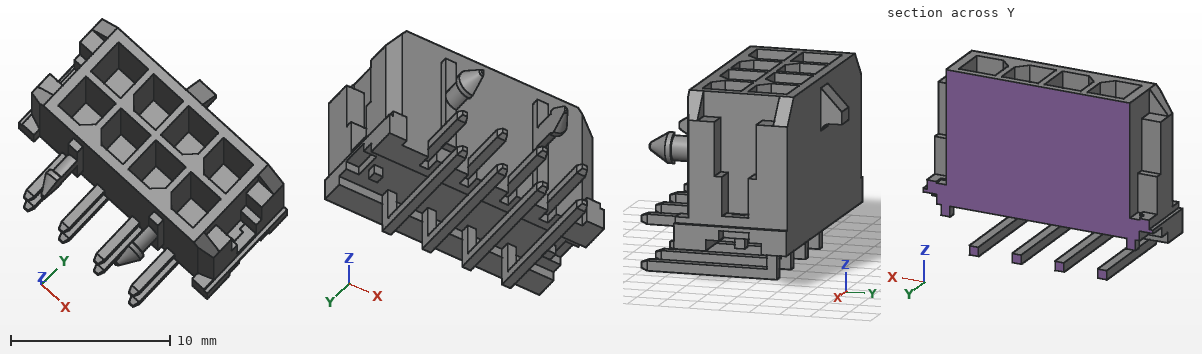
import cadquery as cq


length = 16.15
flange_thickness = 0.27
flange_height = 1.62
body_half = length / 2 - flange_thickness
depth = 6.86
height = 9.92
mid_y = depth / 2
top_half = 6.46
shoulder_z = 8.28
corner_run = 1.02
corner_depth = 0.37
corner_half = body_half - corner_run
standoff = 0.52
foot_height = 2.0

pitch = 3.0
columns = 4
cell_size = 2.55
cell_bevel = 0.71
cell_floor_z = 2.26

pocket_steps = [
    (1.75, 2.25),
    (2.76, 4.78),
    (5.0, shoulder_z),
]
insert_depth = 0.1
insert_x = 6.83
insert_tooth_x = 7.12
insert_tooth_width = 0.79

channel_front_y = 1.57
channel_rear_y = 5.23
channel_height = 0.71
recess_width = 1.99
recess_top_z = 1.35
peg_size = 0.65
pin_slot_depth = 0.97

latch_width = 1.42
latch_reach = 1.37
latch_top_z = 9.25
latch_nose_top_z = 7.8
latch_nose_bottom_z = 6.98
latch_root_z = 6.5
latch_root_run = 0.65
latch_root_radius = 0.68

rib_inner_x = 3.05
rib_width = 0.8
rib_bottom_z = 1.28
rib_top_z = 8.5
post_z = 5.31
post_radius = rib_width
collar_radius = 1.0
collar_start = 2.02
collar_end = 2.37
cone_end = 3.55
cone_end_radius = 0.27
post_end = 3.65
post_end_radius = 0.16

pin_size = 0.65
pin_reach = 3.71
pin_taper = 0.42
pin_tip_size = 0.35
upper_pin_z = 1.0
lower_pin_z = -2.0
upper_pin_rear_y = 1.94
lower_leg_rear_y = channel_rear_y
lower_leg_top_z = 1.62


def block(x0, x1, y0, y1, z0, z1):
    """Box between two opposite corners."""
    return cq.Workplane("XY").box(x1 - x0, y1 - y0, z1 - z0, centered=False).translate((x0, y0, z0))


def both_ends(shape):
    """The shape together with its mirror image at the other end of the part."""
    return shape.union(shape.mirror("YZ"))


column_xs = [(i - (columns - 1) / 2) * pitch for i in range(columns)]


def housing():
    end_outline = [
        (-body_half, 0), (body_half, 0), (body_half, shoulder_z),
        (top_half, height), (-top_half, height), (-body_half, shoulder_z),
    ]
    body = cq.Workplane("XZ").polyline(end_outline).close().extrude(-depth)
    bevel = (
        cq.Workplane("XY")
        .polyline([(corner_half, 0), (body_half, corner_depth), (body_half, 0)])
        .close()
        .extrude(height)
    )
    foot = block(corner_half, body_half, -standoff, corner_depth, 0, foot_height)
    flange = block(body_half, length / 2, -standoff, depth, 0, flange_height)
    return body.cut(both_ends(bevel)).union(both_ends(foot)).union(both_ends(flange))


def cell(x, y, bevel_side):
    """Cell with one bevelled front corner: -1 left, 1 right, 0 none."""
    shape = cq.Workplane("XY").rect(cell_size, cell_size).extrude(height - cell_floor_z)
    if bevel_side:
        corner = "<X and <Y" if bevel_side < 0 else ">X and <Y"
        shape = shape.edges("|Z").edges(corner).chamfer(cell_bevel)
    return shape.translate((x, y, cell_floor_z))


def cells():
    rows = [
        (mid_y + pitch / 2, [0, -1, 1, -1]),
        (mid_y - pitch / 2, [1, -1, 1, -1]),
    ]
    shape = cq.Workplane("XY")
    for y, bevel_sides in rows:
        for x, side in zip(column_xs, bevel_sides):
            shape = shape.add(cell(x, y, side))
    return shape.combine()


def end_pocket():
    floor_width, floor_z = pocket_steps[0]
    insert_floor_z = floor_z - insert_depth
    levels = [
        *[(body_half, width, z) for width, z in pocket_steps],
        (insert_x, floor_width, insert_floor_z),
        (insert_tooth_x, insert_tooth_width, insert_floor_z),
    ]
    shape = cq.Workplane("XY")
    for x_end, width, z in levels:
        shape = shape.union(block(top_half, x_end, mid_y - width / 2, mid_y + width / 2, z, height))
    return both_ends(shape)


def underside():
    """Channel along X, a recess at each end and a slot in the front wall below each front pin."""
    half = length / 2
    channel = block(-half, half, channel_front_y, channel_rear_y, 0, channel_height)
    recess_y = mid_y - recess_width / 2
    recess = block(insert_tooth_x, half, recess_y, recess_y + recess_width, 0, recess_top_z)
    shape = channel.union(both_ends(recess))
    for x in column_xs:
        shape = shape.union(
            block(x - pin_size / 2, x + pin_size / 2, 0, pin_slot_depth, 0, upper_pin_z)
        )
    return shape


def bottom_pegs():
    y0 = mid_y - peg_size / 2
    return both_ends(
        block(insert_x - peg_size, insert_x, y0, y0 + peg_size, 0, channel_height)
    )


def latch():
    nose_y = depth + latch_reach
    return (
        cq.Workplane("YZ")
        .moveTo(depth, latch_root_z)
        .lineTo(depth, latch_top_z)
        .lineTo(nose_y, latch_nose_top_z)
        .lineTo(nose_y, latch_nose_bottom_z)
        .lineTo(depth + latch_root_run, latch_nose_bottom_z)
        .radiusArc((depth, latch_root_z), -latch_root_radius)
        .close()
        .extrude(latch_width / 2, both=True)
    )


def snap_post():
    """Rib with a post turned about a line on the rib's inner face, keeping only the outer half."""
    rib = block(rib_inner_x, rib_inner_x + rib_width, -standoff, 0, rib_bottom_z, rib_top_z)
    profile = [
        (0, 0), (post_radius, 0), (post_radius, -collar_start), (collar_radius, -collar_start),
        (collar_radius, -collar_end), (cone_end_radius, -cone_end),
        (post_end_radius, -post_end), (0, -post_end),
    ]
    post = cq.Workplane("XY").polyline(profile).close().revolve(360, (0, 0, 0), (0, 1, 0))
    inner_half = block(-collar_radius, 0, -post_end, 0, -collar_radius, collar_radius)
    post = post.cut(inner_half).translate((rib_inner_x, 0, post_z))
    return rib.union(post)


def straight_pin(x, z, rear_y):
    """Square pin along Y with a tapered front tip."""
    shoulder_y = pin_taper - pin_reach
    half = pin_size / 2
    shank = block(x - half, x + half, shoulder_y, rear_y, z - half, z + half)
    tip = (
        cq.Workplane("XZ", origin=(x, shoulder_y, z))
        .rect(pin_size, pin_size)
        .workplane(offset=pin_taper)
        .rect(pin_tip_size, pin_tip_size)
        .loft(ruled=True)
    )
    return shank.union(tip)


def pins(x):
    half = pin_size / 2
    leg = block(
        x - half, x + half, lower_leg_rear_y - pin_size, lower_leg_rear_y,
        lower_pin_z - half, lower_leg_top_z,
    )
    lower = straight_pin(x, lower_pin_z, lower_leg_rear_y).union(leg)
    return straight_pin(x, upper_pin_z, upper_pin_rear_y).union(lower)


result = housing().cut(cells()).cut(end_pocket()).cut(underside())
result = result.union(bottom_pegs()).union(latch()).union(both_ends(snap_post()))
for column_x in column_xs:
    result = result.union(pins(column_x))